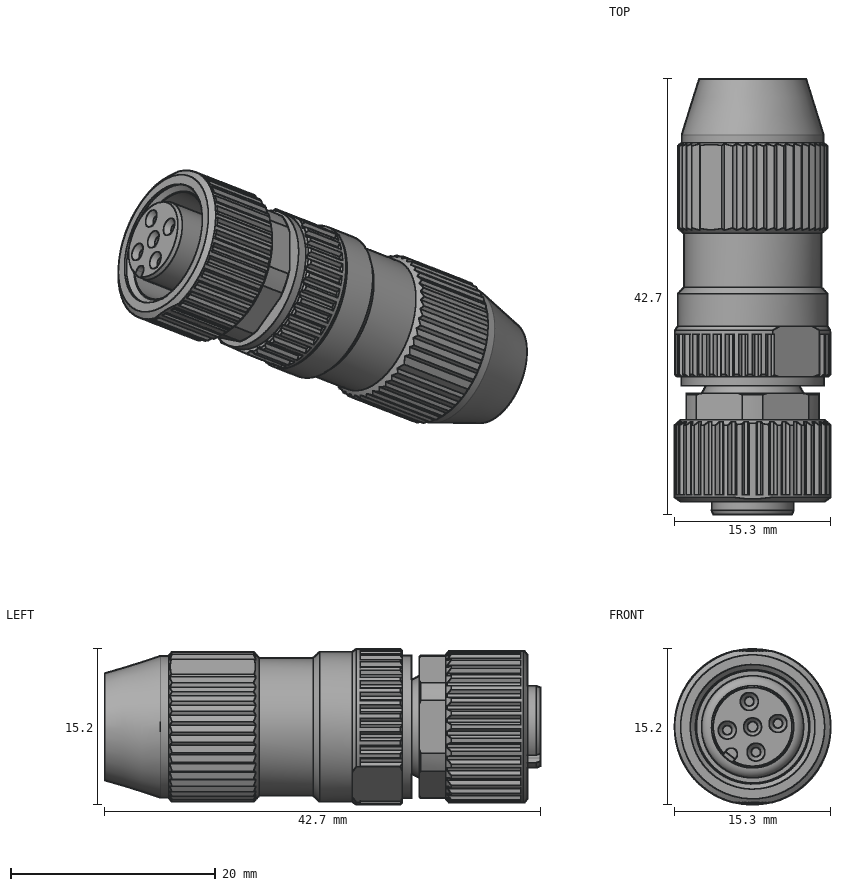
import cadquery as cq
import math

LENGTH = 42.65

INSERT_R = 8.05 / 2
INSERT_TIP_R = 3.85
INSERT_CHAMFER = 0.42
CONTACT_CIRCLE_R = 2.5
CONTACT_COUNT = 4
CONTACT_TURN = 7.5
CONTACT_R = 0.9 / 2
CENTRE_CONTACT_R = 1.0 / 2
CONTACT_FUNNEL_R = 1.75 / 2
CONTACT_FUNNEL_DEPTH = 0.6
CONTACT_DEPTH = 5.0
KEYWAY_R = 1.2 / 2
KEYWAY_AXIS_R = 3.4
KEYWAY_ANGLE = 232.0
KEYWAY_RAMP_R = 3.55
KEYWAY_DEPTH = 7.0

NUT_FRONT = 1.27
NUT_FRONT_CHAMFER_END = 1.71
NUT_GROOVE_START = 1.95
NUT_REAR_CHAMFER_START = 8.75
NUT_KNURL_END = 9.3
NUT_BACK = 11.88
NUT_R = 15.3 / 2
NUT_FACE_R = 7.05
NUT_SIDE_FLAT = 7.42
NUT_TURN = 0.0
HEX_WIDTH = 13.0
HEX_ROUND_R = 14.0 / 2
HEX_CHAMFER = 0.15
MOUTH_R = 12.2 / 2
MOUTH_TAPER_R = 11.2 / 2
BORE_R = 11.0 / 2
MOUTH_STRAIGHT = 0.25
MOUTH_DEPTH = 0.75
BORE_FLOOR = 9.0
SEAL_FRONT = 7.5
SEAL_R = 10.0 / 2

NECK_FRONT_R = 5.0
NECK_BACK_R = 4.6

BODY_FRONT = 12.62
LIP_R = 14.0 / 2
RING_FRONT = 13.52
RING_FRONT_CHAMFER_END = 13.73
RING_GROOVE_END = 17.64
RING_REAR_CHAMFER_START = 18.04
RING_BACK = 18.43
RING_R = 15.25 / 2
RING_FRONT_R = 7.4
RING_TURN = 2.0
RING_FLAT = 7.07
RING_FLAT_ANGLE = 53.0
SHOULDER_R = 14.7 / 2
SHOULDER_END = 21.62
WAIST_START = 22.26
WAIST_R = 13.5 / 2

CAP_FRONT = 27.52
CAP_FRONT_CHAMFER_END = 28.08
CAP_REAR_CHAMFER_START = 36.07
CAP_KNURL_END = 36.4
CAP_R = 14.7 / 2
CAP_VALLEY_R = 7.1
CAP_COLLAR_R = 13.9 / 2
CONE_START = 37.2
CONE_END_R = 10.5 / 2
CAP_FLAT_ANGLE = 124.75
CAP_FLAT_EDGE_R = 7.27
CAP_FLAT_HALF_ANGLE = 10.2
CAP_FIRST_VALLEY = 11.9
CAP_FIRST_RIDGE = 19.3
CAP_TOOTH_PITCH = 8.0
CAP_TOOTH_DROP = 2.7
CAP_TEETH_PER_SIDE = 20

GRIP_COUNT = 36
GROOVE_FLOOR_R = 7.25
GROOVE_FLOOR_WIDTH = 0.35
GROOVE_MOUTH_WIDTH = 0.93
CLEARANCE = 1.0


def polar(radius, degrees):
    angle = math.radians(degrees)
    return radius * math.cos(angle), radius * math.sin(angle)


def revolved(points):
    """Solid of revolution about Y from (radius, y) points."""
    return cq.Workplane("XY").polyline(points).close().revolve(360, (0, 0, 0), (0, 1, 0))


def section(y_start):
    """Cross-section plane whose local axes are X and Z."""
    return cq.Workplane("XZ", origin=(0, y_start, 0))


def beyond_flat(distance, degrees, y_start, y_end):
    """Block that removes everything farther than `distance` from the axis on one side."""
    reach = 2 * NUT_R
    block = section(y_start).center(distance + reach / 2, 0).rect(reach, 2 * reach).extrude(y_start - y_end)
    return block.rotate((0, 0, 0), (0, 1, 0), -degrees)


def groove_angles(turn):
    """Angles midway between evenly spaced ridges, the first ridge standing at `turn` degrees."""
    pitch = 360 / GRIP_COUNT
    return [turn + (index + 0.5) * pitch for index in range(GRIP_COUNT)]


def ring_groove_angles():
    """The ring's groove angles without those that would fall on its two flats."""
    half_flat = math.degrees(math.acos(RING_FLAT / RING_R))

    def off_flat(degrees):
        return abs((degrees - RING_FLAT_ANGLE + 90) % 180 - 90)

    return [degrees for degrees in groove_angles(RING_TURN) if off_flat(degrees) > half_flat]


def grip_grooves(rim_r, angles, y_start, y_end):
    """Trapezoidal grooves along Y at the given angles."""
    slope = (GROOVE_MOUTH_WIDTH - GROOVE_FLOOR_WIDTH) / 2 / (rim_r - GROOVE_FLOOR_R)
    outer_r = rim_r + CLEARANCE / 2
    outer_half = GROOVE_FLOOR_WIDTH / 2 + slope * (outer_r - GROOVE_FLOOR_R)
    outline = [
        (GROOVE_FLOOR_R, -GROOVE_FLOOR_WIDTH / 2),
        (outer_r, -outer_half),
        (outer_r, outer_half),
        (GROOVE_FLOOR_R, GROOVE_FLOOR_WIDTH / 2),
    ]
    groove = section(y_start).polyline(outline).close().extrude(y_start - y_end).val()
    return [groove.rotate(cq.Vector(0, 0, 0), cq.Vector(0, 1, 0), -degrees) for degrees in angles]


def cut_all(body, tools):
    return cq.Workplane(body.val().cut(*tools))


def make_nut():
    grip = revolved([
        (0, NUT_FRONT),
        (NUT_FACE_R, NUT_FRONT),
        (NUT_R, NUT_FRONT_CHAMFER_END),
        (NUT_R, NUT_REAR_CHAMFER_START),
        (NUT_FACE_R, NUT_KNURL_END),
        (0, NUT_KNURL_END),
    ])
    groove_end = NUT_KNURL_END + CLEARANCE
    grip = cut_all(grip, grip_grooves(NUT_R, groove_angles(NUT_TURN), NUT_GROOVE_START, groove_end))
    for degrees in (90, 270):
        grip = grip.cut(beyond_flat(NUT_SIDE_FLAT, degrees, NUT_FRONT, NUT_KNURL_END))
    hexagon = (
        section(NUT_FRONT_CHAMFER_END)
        .polygon(6, HEX_WIDTH / math.cos(math.pi / 6))
        .extrude(NUT_FRONT_CHAMFER_END - NUT_BACK)
        .rotate((0, 0, 0), (0, 1, 0), 30)
    )
    hex_round = revolved([
        (0, NUT_FRONT_CHAMFER_END),
        (HEX_ROUND_R, NUT_FRONT_CHAMFER_END),
        (HEX_ROUND_R, NUT_BACK - HEX_CHAMFER),
        (HEX_ROUND_R - HEX_CHAMFER, NUT_BACK),
        (0, NUT_BACK),
    ])
    bore = revolved([
        (0, NUT_FRONT),
        (MOUTH_R, NUT_FRONT),
        (MOUTH_R, NUT_FRONT + MOUTH_STRAIGHT),
        (MOUTH_TAPER_R, NUT_FRONT + MOUTH_DEPTH),
        (BORE_R, NUT_FRONT + MOUTH_DEPTH),
        (BORE_R, BORE_FLOOR),
        (0, BORE_FLOOR),
    ])
    return grip.union(hexagon.intersect(hex_round)).cut(bore)


def make_contact(hole_r):
    """Funnel-mouthed contact hole on the Y axis."""
    return revolved([
        (0, 0),
        (CONTACT_FUNNEL_R, 0),
        (hole_r, CONTACT_FUNNEL_DEPTH),
        (hole_r, CONTACT_DEPTH),
        (0, CONTACT_DEPTH),
    ])


def make_keyway():
    """Round-bottomed slot, open outwards, whose inner end ramps up towards the insert's skin."""
    outer_r = KEYWAY_AXIS_R + CLEARANCE
    slot = section(0).center(KEYWAY_AXIS_R, 0).circle(KEYWAY_R).extrude(-KEYWAY_DEPTH)
    opening = (
        section(0)
        .center((KEYWAY_AXIS_R + outer_r) / 2, 0)
        .rect(CLEARANCE, 2 * KEYWAY_R)
        .extrude(-KEYWAY_DEPTH)
    )
    ramp_rise = outer_r - KEYWAY_RAMP_R
    ramp = (
        cq.Workplane("XY")
        .moveTo(KEYWAY_RAMP_R, KEYWAY_DEPTH)
        .lineTo(outer_r, KEYWAY_DEPTH - ramp_rise)
        .lineTo(outer_r, KEYWAY_DEPTH)
        .close()
        .extrude(KEYWAY_R, both=True)
    )
    return slot.union(opening).cut(ramp).rotate((0, 0, 0), (0, 1, 0), -KEYWAY_ANGLE)


def make_insert():
    round_r = SEAL_R - INSERT_R
    mid_x, mid_y = polar(round_r, 45)
    round_mid = (INSERT_R + mid_x, SEAL_FRONT + round_r - mid_y)
    insert = (
        cq.Workplane("XY")
        .moveTo(0, 0)
        .lineTo(INSERT_TIP_R, 0)
        .lineTo(INSERT_R, INSERT_CHAMFER)
        .lineTo(INSERT_R, SEAL_FRONT)
        .threePointArc(round_mid, (SEAL_R, SEAL_FRONT + round_r))
        .lineTo(SEAL_R, NUT_BACK)
        .lineTo(0, NUT_BACK)
        .close()
        .revolve(360, (0, 0, 0), (0, 1, 0))
    )
    insert = insert.cut(make_contact(CENTRE_CONTACT_R))
    contact = make_contact(CONTACT_R)
    for index in range(CONTACT_COUNT):
        x, z = polar(CONTACT_CIRCLE_R, CONTACT_TURN + index * 360 / CONTACT_COUNT)
        insert = insert.cut(contact.translate((x, 0, z)))
    return insert.cut(make_keyway())


def make_body():
    body = revolved([
        (0, NUT_BACK),
        (NECK_FRONT_R, NUT_BACK),
        (NECK_BACK_R, BODY_FRONT),
        (LIP_R, BODY_FRONT),
        (LIP_R, RING_FRONT),
        (SHOULDER_R, RING_FRONT),
        (SHOULDER_R, SHOULDER_END),
        (WAIST_R, WAIST_START),
        (WAIST_R, CAP_FRONT),
        (0, CAP_FRONT),
    ])
    ring = revolved([
        (0, RING_FRONT),
        (RING_FRONT_R, RING_FRONT),
        (RING_R, RING_FRONT_CHAMFER_END),
        (RING_R, RING_REAR_CHAMFER_START),
        (SHOULDER_R, RING_BACK),
        (0, RING_BACK),
    ])
    body = body.union(ring)
    body = cut_all(body, grip_grooves(RING_R, ring_groove_angles(), RING_FRONT, RING_GROOVE_END))
    for degrees in (RING_FLAT_ANGLE, RING_FLAT_ANGLE + 180):
        body = body.cut(beyond_flat(RING_FLAT, degrees, RING_FRONT, RING_BACK))
    return body


def cap_side():
    """(radius, angle from the flat) corners of the saw teeth on one side of the flat."""
    corners = [(CAP_FLAT_EDGE_R, CAP_FLAT_HALF_ANGLE), (CAP_VALLEY_R, CAP_FIRST_VALLEY)]
    for index in range(CAP_TEETH_PER_SIDE):
        ridge = CAP_FIRST_RIDGE + index * CAP_TOOTH_PITCH
        corners.append((CAP_R, ridge))
        corners.append((CAP_VALLEY_R, ridge + CAP_TOOTH_DROP))
    return corners


def make_cap():
    side = cap_side()
    outline = [polar(radius, CAP_FLAT_ANGLE + angle) for radius, angle in side]
    outline.append(polar(CAP_R, CAP_FLAT_ANGLE + 180))
    outline += [polar(radius, CAP_FLAT_ANGLE - angle) for radius, angle in reversed(side)]
    teeth = section(CAP_FRONT).polyline(outline).close().extrude(CAP_FRONT - CAP_KNURL_END)
    envelope = revolved([
        (0, CAP_FRONT),
        (WAIST_R, CAP_FRONT),
        (CAP_R, CAP_FRONT_CHAMFER_END),
        (CAP_R, CAP_REAR_CHAMFER_START),
        (CAP_COLLAR_R, CAP_KNURL_END),
        (0, CAP_KNURL_END),
    ])
    cone = revolved([
        (0, CAP_KNURL_END),
        (CAP_COLLAR_R, CAP_KNURL_END),
        (CAP_COLLAR_R, CONE_START),
        (CONE_END_R, LENGTH),
        (0, LENGTH),
    ])
    return teeth.intersect(envelope).union(cone)


result = make_nut().union(make_insert()).union(make_body()).union(make_cap())